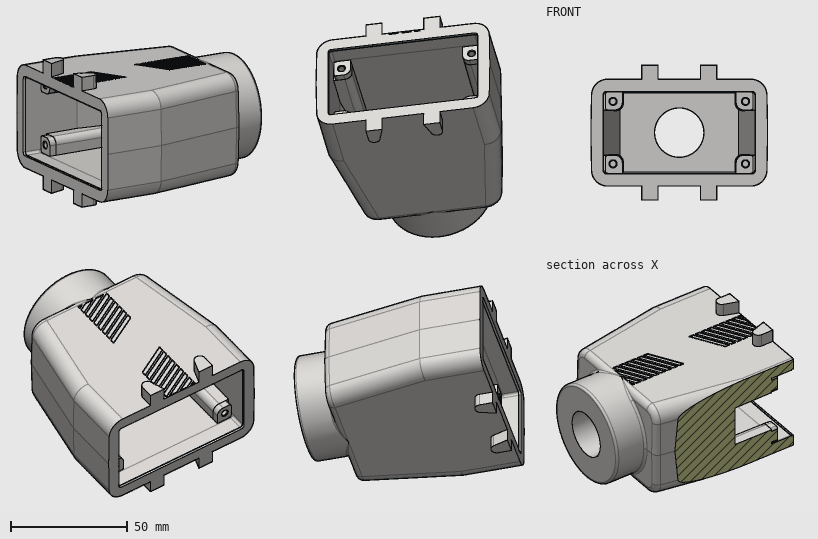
import cadquery as cq
import math


LENGTH = 86.5
BODY_WIDTH = 76.0
BODY_HEIGHT = 46.0
HEIGHT_OVER_TABS = 58.0

STRAIGHT_LENGTH = 26.7
SHOULDER_LENGTH = 71.4
SIDE_TAPER = 10.0
DRAFT = 1.0
CORNER_RADIUS = 7.0
SHOULDER_RADIUS = 3.0

NECK_RADIUS = BODY_HEIGHT / 2
NECK_OVERLAP = 3.9
NECK_START = SHOULDER_LENGTH - NECK_OVERLAP
NECK_ROOT_RADIUS = 1.0
NECK_RIM_RADIUS = 1.0
BORE_RADIUS = 10.55

MOUTH_WIDTH = 65.4
MOUTH_HEIGHT = 35.5
MOUTH_DEPTH = 1.0
MOUTH_RADIUS = 1.5
MOUTH_STEP = 0.3
CAVITY_WIDTH = MOUTH_WIDTH - 2 * MOUTH_STEP
CAVITY_HEIGHT = MOUTH_HEIGHT - 2 * MOUTH_STEP
CAVITY_LENGTH = 66.2
CAVITY_LEVEL_LENGTH = 8.0
CAVITY_DRAFT = 0.5
CAVITY_RADIUS = 1.2

POST_START = 8.4
POST_TIP_LENGTH = 3.1
POST_INNER_X = 24.5
POST_INNER_Z = 9.8
POST_TIP_OUTER_X = 31.7
POST_RADIUS = 3.0
POST_TIP_RADIUS = 1.0
POST_DRAFT = 0.5
SCREW_X = 28.45
SCREW_Z = 13.4
SCREW_HOLE_RADIUS = 1.4
SCREW_HOLE_DEPTH = 10.4
SCREW_HOLE_CHAMFER = 0.35

TAB_OUTER_X = 16.2
TAB_INNER_X = 9.1
TAB_LENGTH = 8.4
TAB_RADIUS = 2.5
TAB_EMBED = 0.9

STRIPE_BAND_WIDTH = 14.8
STRIPE_BAND_START = 0.4
STRIPE_BAND_END = 67.5
STRIPE_ANGLE = 30.0
STRIPE_PITCH = 3.2
STRIPE_RISE = 2.2
STRIPE_DEPTH = 0.4
STRIPE_COUNT = 9
LOWER_STRIPES_START = -8.9
UPPER_STRIPES_START = 40.65


def tan_deg(angle):
    return math.tan(math.radians(angle))


CAVITY_END_HEIGHT = CAVITY_HEIGHT - 2 * (CAVITY_LENGTH - CAVITY_LEVEL_LENGTH) * tan_deg(CAVITY_DRAFT)
POST_SPREAD = (CAVITY_LENGTH - POST_START) * tan_deg(POST_DRAFT)


def wedge_outline(half_width, straight, length, start):
    """Outline in plan, symmetric about X = 0, whose sides lean in beyond the straight stretch."""
    end_half_width = half_width - (length - straight) * tan_deg(SIDE_TAPER)
    right_side = [(half_width, start), (half_width, straight), (end_half_width, length)]
    left_side = [(-x, y) for x, y in reversed(right_side)]
    return cq.Workplane("XY").polyline(right_side + left_side).close()


def make_hood():
    """Solid shell and neck: the upper half is built, then mirrored about the parting plane Z = 0."""
    blank_start = -4.3
    half = wedge_outline(BODY_WIDTH / 2, STRAIGHT_LENGTH, SHOULDER_LENGTH, blank_start)
    half = half.extrude(BODY_HEIGHT / 2, taper=DRAFT)
    in_front = cq.Workplane("XY").box(LENGTH, LENGTH, LENGTH).translate((0, -LENGTH / 2, 0))
    half = half.cut(in_front)
    half = half.faces(">Z").edges("not(|X)").fillet(CORNER_RADIUS)
    half = half.faces(">Y").edges("not(<Z)").fillet(SHOULDER_RADIUS)

    below = cq.Workplane("XY").box(LENGTH, 3 * LENGTH, LENGTH).translate((0, 0, -LENGTH / 2))
    half = half.union(make_neck().cut(below))
    root = cq.selectors.BoxSelector(
        (-NECK_RADIUS - 0.1, NECK_START - 0.1, 0.1),
        (NECK_RADIUS + 0.1, SHOULDER_LENGTH + 0.1, NECK_RADIUS - 0.01),
    )
    half = half.edges(root).fillet(NECK_ROOT_RADIUS)
    return half.union(half.mirror("XY"))


def make_neck():
    neck = cq.Workplane("XZ", origin=(0, NECK_START, 0)).circle(NECK_RADIUS).extrude(NECK_START - LENGTH)
    return neck.faces(">Y").edges().fillet(NECK_RIM_RADIUS)


def make_cavity():
    """Drafted hollow with a shallow, slightly larger recess at the mouth."""
    outline = wedge_outline(CAVITY_WIDTH / 2, STRAIGHT_LENGTH, CAVITY_LENGTH, 0)
    full_height = outline.extrude(CAVITY_HEIGHT, both=True)
    heights = (
        cq.Workplane("YZ")
        .moveTo(0, -CAVITY_HEIGHT / 2)
        .lineTo(CAVITY_LEVEL_LENGTH, -CAVITY_HEIGHT / 2)
        .lineTo(CAVITY_LENGTH, -CAVITY_END_HEIGHT / 2)
        .lineTo(CAVITY_LENGTH, CAVITY_END_HEIGHT / 2)
        .lineTo(CAVITY_LEVEL_LENGTH, CAVITY_HEIGHT / 2)
        .lineTo(0, CAVITY_HEIGHT / 2)
        .close()
        .extrude(BODY_WIDTH, both=True)
    )
    cavity = full_height.intersect(heights)
    long_edges = cq.selectors.BoxSelector(
        (-BODY_WIDTH, 0.1, -BODY_HEIGHT), (BODY_WIDTH, CAVITY_LENGTH - 0.1, BODY_HEIGHT)
    )
    cavity = cavity.edges(long_edges).edges("not(|X or |Z)").fillet(CAVITY_RADIUS)
    mouth = (
        cq.Workplane("XZ")
        .rect(MOUTH_WIDTH, MOUTH_HEIGHT)
        .extrude(-MOUTH_DEPTH)
        .edges("|Y")
        .fillet(MOUTH_RADIUS)
    )
    return cavity.union(mouth)


def make_post():
    """Post in the +X, +Z corner: a rounded tip on a drafted stem that merges with the walls."""
    tip_width = POST_TIP_OUTER_X - POST_INNER_X
    top_z = CAVITY_HEIGHT / 2
    tip = (
        cq.Workplane("XY")
        .box(tip_width, POST_TIP_LENGTH, top_z - POST_INNER_Z, centered=False)
        .translate((POST_INNER_X, POST_START, POST_INNER_Z))
    )
    tip = tip.edges("|Y and >X").fillet(POST_TIP_RADIUS)
    tip = tip.edges("|Y and <X and <Z").fillet(POST_RADIUS)

    stem_start = POST_START + POST_TIP_LENGTH
    left = POST_INNER_X - POST_SPREAD
    bottom = POST_INNER_Z - POST_SPREAD
    base_radius = POST_RADIUS + POST_SPREAD
    stem = (
        cq.Workplane("XZ", origin=(0, CAVITY_LENGTH, 0))
        .moveTo(left + base_radius, bottom)
        .lineTo(BODY_WIDTH, bottom)
        .lineTo(BODY_WIDTH, BODY_HEIGHT)
        .lineTo(left, BODY_HEIGHT)
        .lineTo(left, bottom + base_radius)
        .tangentArcPoint((left + base_radius, bottom), relative=False)
        .close()
        .extrude(CAVITY_LENGTH - stem_start, taper=POST_DRAFT)
    )
    return tip.union(stem)


def make_screw_hole():
    mouth_radius = SCREW_HOLE_RADIUS + SCREW_HOLE_CHAMFER
    return (
        cq.Workplane("XY", origin=(SCREW_X, POST_START, SCREW_Z))
        .lineTo(mouth_radius, 0)
        .lineTo(SCREW_HOLE_RADIUS, SCREW_HOLE_CHAMFER)
        .lineTo(SCREW_HOLE_RADIUS, SCREW_HOLE_DEPTH)
        .lineTo(0, SCREW_HOLE_DEPTH)
        .close()
        .revolve(360, (0, 0, 0), (0, 1, 0))
    )


def in_four_corners(corner):
    pair = corner.union(corner.mirror("YZ"))
    return pair.union(pair.mirror("XY"))


def make_tabs():
    """Two tabs, each on the top and the bottom; the slanted side is tangent to the rounded end."""
    centre_x = TAB_OUTER_X - TAB_RADIUS
    centre_y = TAB_LENGTH - TAB_RADIUS
    offset = centre_x - TAB_INNER_X
    to_tangent = math.acos(TAB_RADIUS / math.hypot(offset, centre_y))
    tangent_angle = math.atan2(-centre_y, -offset) - to_tangent
    tangent_point = (
        centre_x + TAB_RADIUS * math.cos(tangent_angle),
        centre_y + TAB_RADIUS * math.sin(tangent_angle),
    )
    tab = (
        cq.Workplane("XY")
        .moveTo(TAB_INNER_X, 0)
        .lineTo(TAB_OUTER_X, 0)
        .lineTo(TAB_OUTER_X, centre_y)
        .threePointArc((centre_x, TAB_LENGTH), tangent_point)
        .close()
        .extrude(HEIGHT_OVER_TABS / 2)
    )
    tab = tab.cut(cq.Workplane("XY").box(LENGTH, LENGTH, BODY_HEIGHT - 2 * TAB_EMBED))
    return in_four_corners(tab)


def make_stripes(start):
    """One run of slanted grooves; the lower left corner of the first is at Y = start before trimming."""
    left = -STRIPE_BAND_WIDTH / 2
    climb = STRIPE_BAND_WIDTH * tan_deg(STRIPE_ANGLE)
    stripes = cq.Workplane("XY", origin=(0, 0, BODY_HEIGHT / 2 - STRIPE_DEPTH))
    for index in range(STRIPE_COUNT):
        y = start + index * STRIPE_PITCH
        stripes = (
            stripes.moveTo(left, y)
            .lineTo(-left, y + climb)
            .lineTo(-left, y + climb + STRIPE_RISE)
            .lineTo(left, y + STRIPE_RISE)
            .close()
        )
    stripes = stripes.extrude(STRIPE_DEPTH)
    band_length = STRIPE_BAND_END - STRIPE_BAND_START
    band = cq.Workplane("XY").box(STRIPE_BAND_WIDTH, band_length, LENGTH)
    return stripes.intersect(band.translate((0, STRIPE_BAND_START + band_length / 2, 0)))


bore = cq.Workplane("XZ").circle(BORE_RADIUS).extrude(-LENGTH)
hollow = make_cavity().cut(in_four_corners(make_post()))

result = make_hood().union(make_tabs())
result = result.cut(hollow).cut(bore).cut(in_four_corners(make_screw_hole()))
result = result.cut(make_stripes(LOWER_STRIPES_START))
result = result.cut(make_stripes(UPPER_STRIPES_START))